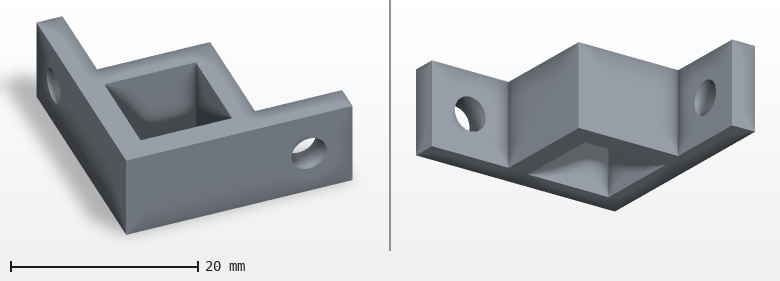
import cadquery as cq

side = 26.0
height = 10.0
tab_length = 10.0
tab_thickness = 3.0
socket_opening = 10.5
hole_diameter = 4.0

socket_side = side - tab_length
socket_center = socket_side / 2
hole_offset = side - tab_length / 2
overlap = 0.25



def corner_block(length_x, length_y):
    """Full-height block with one vertical edge on the outer corner."""
    return cq.Workplane("XY").box(length_x, length_y, height, centered=False).translate((-length_x, 0, 0))


body = corner_block(socket_side, socket_side)
body = body.union(corner_block(side, tab_thickness))
body = body.union(corner_block(tab_thickness, side))

opening = (
    cq.Workplane("XY")
    .center(-socket_center, socket_center)
    .rect(socket_opening, socket_opening)
    .extrude(height)
)


def tab_hole(center, direction):
    """Round cutter that passes through one tab along the given direction."""
    start = cq.Vector(*center) - cq.Vector(*direction) * overlap
    cutter_length = tab_thickness + 2 * overlap
    return cq.Solid.makeCylinder(hole_diameter / 2, cutter_length, start, cq.Vector(*direction))


x_tab_hole = tab_hole((-hole_offset, 0, height / 2), (0, 1, 0))
y_tab_hole = tab_hole((0, hole_offset, height / 2), (-1, 0, 0))

result = body.cut(opening).cut(x_tab_hole).cut(y_tab_hole)